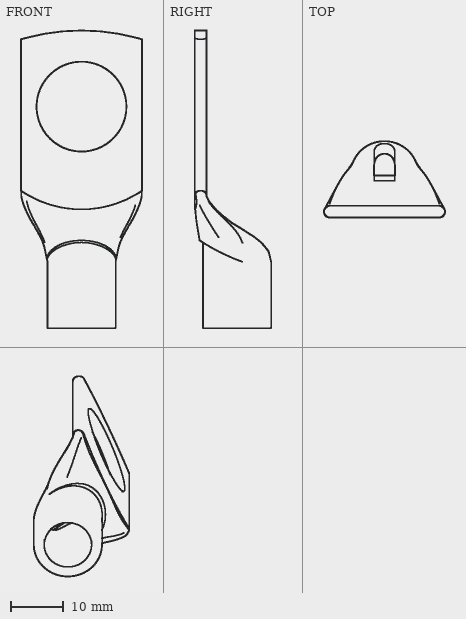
import cadquery as cq

TOTAL_HEIGHT = 56.5

PALM_WIDTH = 23.0
PALM_THICKNESS = 2.25
PALM_FLAT_WIDTH = 21.0
PALM_TOP_SAGITTA = 1.7
PALM_BOTTOM_HEIGHT = 22.55
PALM_BOTTOM_SAGITTA = 3.55
BOLT_HOLE_DIAMETER = 17.0
BOLT_HOLE_HEIGHT = 42.05

BARREL_DIAMETER = 13.0
BARREL_END_RADIUS = 0.15
BORE_DIAMETER = 9.0
BARREL_FLANK_HALF = 1.7
TOTAL_DEPTH = 14.5

NECK_START_HEIGHT = 12.6
JOINT_BEND_Y = 9.05
JOINT_FRONT_Y = 0.9
JOINT_FRONT_HEIGHT = 16.65
JOINT_SAG = 0.3
NECK_INSET = 0.05

WINDOW_WIDTH = 3.95
WINDOW_BOTTOM_HEIGHT = 14.5
WINDOW_WALL_TOP_Y = 7.0
WINDOW_WALL_TOP_HEIGHT = 20.05

MARGIN = 2.8

barrel_radius = BARREL_DIAMETER / 2
barrel_y = TOTAL_DEPTH - barrel_radius
bore_radius = BORE_DIAMETER / 2
half_palm = PALM_WIDTH / 2
half_flat = PALM_FLAT_WIDTH / 2
palm_shoulder_height = TOTAL_HEIGHT - PALM_TOP_SAGITTA
palm_corner_height = PALM_BOTTOM_HEIGHT + PALM_BOTTOM_SAGITTA
barrel_flank_x = (barrel_radius**2 - BARREL_FLANK_HALF**2) ** 0.5

NECK_SECTIONS = [
    (
        NECK_START_HEIGHT, barrel_radius, barrel_flank_x, barrel_y - barrel_radius,
        barrel_y - BARREL_FLANK_HALF, barrel_y + BARREL_FLANK_HALF, TOTAL_DEPTH,
    ),
    (14.45, 6.85, 6.5, 1.2, 5.9, 9.5, 14.05),
    (JOINT_FRONT_HEIGHT, 7.5, 7.1, JOINT_FRONT_Y, 4.85, 8.85, 12.35),
    (WINDOW_WALL_TOP_HEIGHT, 9.4, 8.8, 0.35, 2.7, 6.3, WINDOW_WALL_TOP_Y),
    (23.15, 10.9, 10.15, 0.05, 1.0, 3.3, 3.4),
    (24.85, 11.4, 10.5, 0.05, 0.35, 2.25, 2.3),
    (
        palm_corner_height, half_palm - NECK_INSET, half_flat, NECK_INSET,
        2 * NECK_INSET, PALM_THICKNESS - 2 * NECK_INSET, PALM_THICKNESS - NECK_INSET,
    ),
]


def make_palm():
    outline = (
        cq.Workplane("XZ")
        .moveTo(-half_palm, palm_corner_height)
        .threePointArc((0, PALM_BOTTOM_HEIGHT), (half_palm, palm_corner_height))
        .lineTo(half_palm, palm_shoulder_height)
        .threePointArc((0, TOTAL_HEIGHT), (-half_palm, palm_shoulder_height))
        .close()
        .extrude(-PALM_THICKNESS)
    )
    rounded_bar = (
        cq.Workplane("XY")
        .moveTo(-half_flat, 0)
        .lineTo(half_flat, 0)
        .threePointArc((half_palm, PALM_THICKNESS / 2), (half_flat, PALM_THICKNESS))
        .lineTo(-half_flat, PALM_THICKNESS)
        .threePointArc((-half_palm, PALM_THICKNESS / 2), (-half_flat, 0))
        .close()
        .extrude(TOTAL_HEIGHT)
    )
    palm = outline.intersect(rounded_bar)
    bolt_hole = (
        cq.Workplane("XZ")
        .center(0, BOLT_HOLE_HEIGHT)
        .circle(BOLT_HOLE_DIAMETER / 2)
        .extrude(-PALM_THICKNESS)
    )
    return palm.cut(bolt_hole)


def make_barrel_zone():
    """Everything below the joint, where the barrel keeps its round shape."""
    front_y = JOINT_FRONT_Y - MARGIN
    back_y = TOTAL_DEPTH + MARGIN
    joint_middle = (
        (JOINT_BEND_Y + JOINT_FRONT_Y) / 2,
        (NECK_START_HEIGHT + JOINT_FRONT_HEIGHT) / 2 - JOINT_SAG,
    )
    return (
        cq.Workplane("YZ")
        .moveTo(front_y, 0)
        .lineTo(back_y, 0)
        .lineTo(back_y, NECK_START_HEIGHT)
        .lineTo(JOINT_BEND_Y, NECK_START_HEIGHT)
        .threePointArc(joint_middle, (JOINT_FRONT_Y, JOINT_FRONT_HEIGHT))
        .lineTo(front_y, JOINT_FRONT_HEIGHT)
        .close()
        .extrude(half_palm, both=True)
    )


def make_barrel():
    barrel = cq.Workplane("XY").center(0, barrel_y).circle(barrel_radius).extrude(JOINT_FRONT_HEIGHT)
    return barrel.faces("<Z").edges().fillet(BARREL_END_RADIUS)


def neck_wire(height, half_width, flank_x, front_y, front_flank_y, back_flank_y, back_y):
    flank_y = (front_flank_y + back_flank_y) / 2
    section = (
        cq.Workplane("XY", origin=(0, 0, height))
        .moveTo(-flank_x, front_flank_y)
        .threePointArc((0, front_y), (flank_x, front_flank_y))
        .threePointArc((half_width, flank_y), (flank_x, back_flank_y))
        .threePointArc((0, back_y), (-flank_x, back_flank_y))
        .threePointArc((-half_width, flank_y), (-flank_x, front_flank_y))
        .close()
    )
    return section.val()


def make_neck():
    wires = [neck_wire(*section) for section in NECK_SECTIONS]
    return cq.Workplane("XY").add(cq.Solid.makeLoft(wires))


def make_bore():
    """Round bore with a hemispherical end inside the neck."""
    shaft = cq.Workplane("XY").center(0, barrel_y).circle(bore_radius).extrude(NECK_START_HEIGHT)
    dome = cq.Workplane("XY").sphere(bore_radius).translate((0, barrel_y, NECK_START_HEIGHT))
    return shaft.union(dome)


def make_window():
    """Round-bottomed window whose upper wall leans forward from the bore axis."""
    radius = WINDOW_WIDTH / 2
    axis_height = WINDOW_BOTTOM_HEIGHT + radius
    top = WINDOW_WALL_TOP_HEIGHT + MARGIN
    slot = (
        cq.Workplane("XZ")
        .moveTo(-radius, top)
        .lineTo(-radius, axis_height)
        .threePointArc((0, WINDOW_BOTTOM_HEIGHT), (radius, axis_height))
        .lineTo(radius, top)
        .close()
        .extrude(-(TOTAL_DEPTH + MARGIN))
    )
    dome_top = NECK_START_HEIGHT + bore_radius
    lean = (barrel_y - WINDOW_WALL_TOP_Y) / (WINDOW_WALL_TOP_HEIGHT - dome_top)
    back_y = TOTAL_DEPTH + MARGIN
    depth_outline = [
        (barrel_y, WINDOW_BOTTOM_HEIGHT),
        (back_y, WINDOW_BOTTOM_HEIGHT),
        (back_y, top),
        (WINDOW_WALL_TOP_Y - MARGIN * lean, top),
        (barrel_y, dome_top),
    ]
    depth_prism = cq.Workplane("YZ").polyline(depth_outline).close().extrude(WINDOW_WIDTH, both=True)
    return slot.intersect(depth_prism)


barrel_zone = make_barrel_zone()
barrel = make_barrel().intersect(barrel_zone)
neck = make_neck().cut(barrel_zone)
result = make_palm().union(neck).union(barrel).cut(make_bore()).cut(make_window())